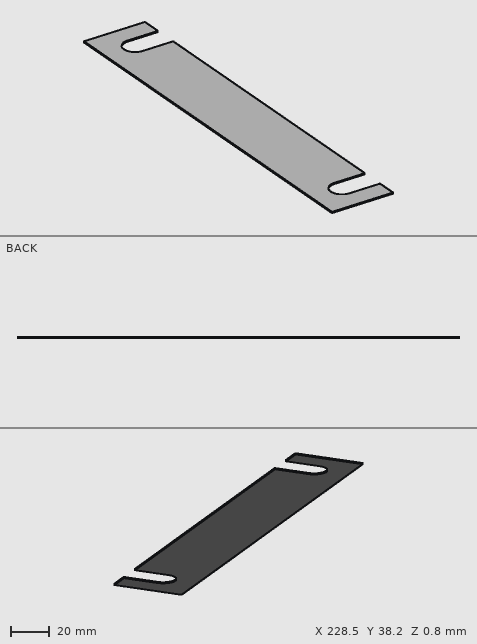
import cadquery as cq

length = 228.5
width = 38.2
thickness = 0.8

slot_width = 14.0
slot_end_offset = 19.0
slot_depth = 26.0


def open_slot(x_center):
    """Cutter for one round-bottomed slot that opens through the +Y edge."""
    radius = slot_width / 2
    y_edge = width / 2
    y_bottom = y_edge - slot_depth
    y_arc = y_bottom + radius
    return (
        cq.Workplane("XY")
        .moveTo(x_center - radius, y_edge)
        .lineTo(x_center - radius, y_arc)
        .threePointArc((x_center, y_bottom), (x_center + radius, y_arc))
        .lineTo(x_center + radius, y_edge)
        .close()
        .extrude(thickness)
    )


result = cq.Workplane("XY").rect(length, width).extrude(thickness)

for side in (-1, 1):
    result = result.cut(open_slot(side * (length / 2 - slot_end_offset)))